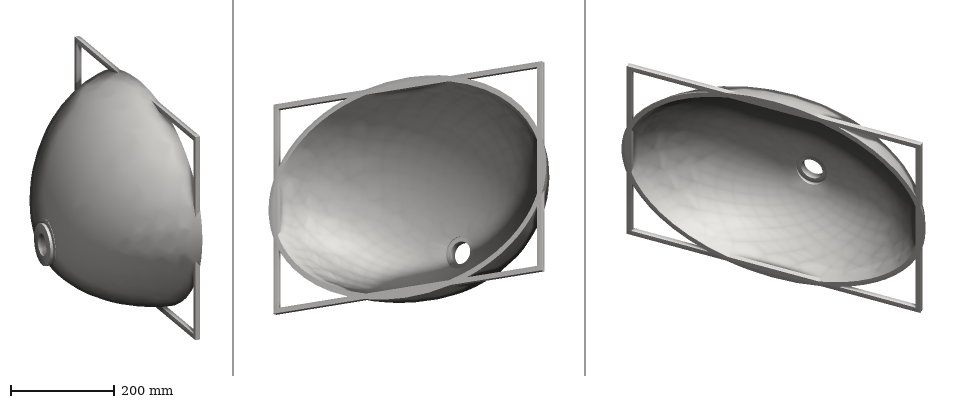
import cadquery as cq
import math

RIM_HALF_WIDTH = 321.0
RIM_HALF_HEIGHT = 220.7
BOWL_DEPTH = 200.5
OVERALL_DEPTH = 205.0
DRAIN_Z = -90.0

SIDE_CENTRE_OFFSET = 88.0
UPPER_CENTRE_OFFSET = 56.0
LOWER_CENTRE_OFFSET = 0.0

SECTION_COUNT = 9
LAST_SECTION_ANGLE = math.radians(84)

WALL = 11.0

FRAME_WIDTH = 2 * (RIM_HALF_WIDTH - WALL)
FRAME_HEIGHT = 2 * (RIM_HALF_HEIGHT - WALL)
FRAME_BAR = 10.0

BOSS_DIAMETER = 84.0
DRAIN_DIAMETER = 65.0
BORE_DIAMETER = 45.0
COLLAR_WIDTH = 100.0
COLLAR_HEIGHT = 97.5
COLLAR_RISE = 0.5
COLLAR_Z = DRAIN_Z + 2.5

DRAIN_INNER_DEPTH = BOWL_DEPTH - WALL


def profile_extent(rim_extent, depth, bowl_depth, centre_offset):
    """Extent at a depth along an elliptical arc from the rim to the deepest point."""
    span = bowl_depth + centre_offset
    at_depth = 1 - ((depth + centre_offset) / span) ** 2
    at_rim = 1 - (centre_offset / span) ** 2
    return rim_extent * math.sqrt(at_depth / at_rim)


def bowl_form(inset):
    """Solid bowl shape, moved inward by the inset (outward if negative)."""
    bowl_depth = BOWL_DEPTH - inset
    half_width = RIM_HALF_WIDTH - inset
    upper_height = RIM_HALF_HEIGHT - inset - DRAIN_Z
    lower_height = RIM_HALF_HEIGHT - inset + DRAIN_Z
    sections = []
    for index in range(SECTION_COUNT):
        angle = LAST_SECTION_ANGLE * index / (SECTION_COUNT - 1)
        depth = bowl_depth * math.sin(angle)
        side = profile_extent(half_width, depth, bowl_depth, SIDE_CENTRE_OFFSET)
        upper = profile_extent(upper_height, depth, bowl_depth, UPPER_CENTRE_OFFSET)
        lower = profile_extent(lower_height, depth, bowl_depth, LOWER_CENTRE_OFFSET)
        centre_z = DRAIN_Z + (upper - lower) / 2
        plane = cq.Plane(origin=(0, -depth, centre_z), xDir=(0, 0, 1), normal=(0, -1, 0))
        section = cq.Workplane(plane).ellipse((upper + lower) / 2, side)
        sections.append(section.wires().val())
    return cq.Workplane(cq.Solid.makeLoft(sections))


def facing_plane(depth, z):
    """Workplane facing -Y, at a given depth in front of the rim plane."""
    return cq.Workplane(cq.Plane(origin=(0, -depth, z), xDir=(1, 0, 0), normal=(0, -1, 0)))


def drain_cylinder(diameter):
    """Cylinder along the drain axis, from the bowl's inner floor to the front face."""
    length = OVERALL_DEPTH - DRAIN_INNER_DEPTH
    return facing_plane(DRAIN_INNER_DEPTH, DRAIN_Z).circle(diameter / 2).extrude(length)


def make_frame():
    """Flat rectangular frame of square bar, flush with the rim."""
    outside = facing_plane(0, 0).rect(FRAME_WIDTH, FRAME_HEIGHT).extrude(FRAME_BAR)
    opening = facing_plane(0, 0).rect(FRAME_WIDTH - 2 * FRAME_BAR, FRAME_HEIGHT - 2 * FRAME_BAR)
    return outside.cut(opening.extrude(FRAME_BAR))


def make_drain():
    """Drain sleeve, flush with the front of the boss."""
    return drain_cylinder(DRAIN_DIAMETER).cut(drain_cylinder(BORE_DIAMETER))


def make_collar():
    """Thin raised patch of bowl surface around the boss."""
    column = facing_plane(DRAIN_INNER_DEPTH - WALL, COLLAR_Z).ellipse(COLLAR_WIDTH / 2, COLLAR_HEIGHT / 2)
    return bowl_form(-COLLAR_RISE).intersect(column.extrude(2 * WALL))


def make_bowl(frame):
    """Hollow bowl with a drain boss, and slots in the rim for the frame."""
    bowl = bowl_form(0).union(make_collar()).cut(bowl_form(WALL))
    bowl = bowl.union(drain_cylinder(BOSS_DIAMETER))
    drain_hole = facing_plane(0, DRAIN_Z).circle(DRAIN_DIAMETER / 2).extrude(OVERALL_DEPTH)
    return bowl.cut(drain_hole).cut(frame)


frame = make_frame()
drain = make_drain()
bowl = make_bowl(frame)

result = cq.Compound.makeCompound([
    bowl.solids().val(),
    frame.solids().val(),
    drain.solids().val(),
])